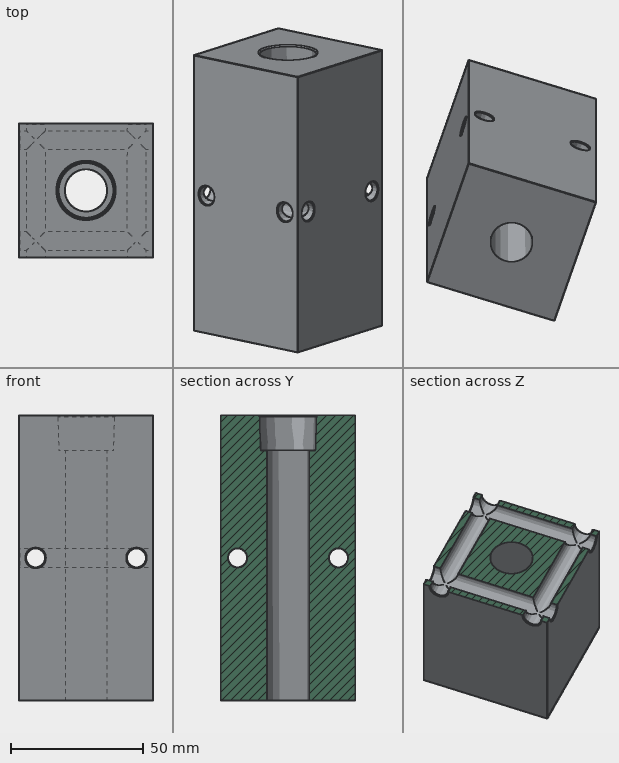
import cadquery as cq

height = 108.0
width = 50.8
edge_chamfer = 0.25

bore_diameter = 15.9
counterbore_depth = 13.4
counterbore_diameter = 21.4
counterbore_taper = 1 / 16
mouth_diameter = 22.6
mouth_chamfer = (mouth_diameter - counterbore_diameter) / 2
floor_diameter = counterbore_diameter - counterbore_taper * (counterbore_depth - mouth_chamfer)

cross_hole_diameter = 7.1
cross_hole_chamfer = 0.38
cross_hole_spacing = 38.1


def make_block():
    """Square block centred on the origin, with all its edges broken."""
    block = cq.Workplane("XY").box(width, width, height)
    return block.edges().chamfer(edge_chamfer)


def make_bore():
    """Cutter for the through bore and the tapered, chamfered counterbore at its top."""
    top = height / 2
    floor = top - counterbore_depth
    half_profile = [
        (0, -top),
        (bore_diameter / 2, -top),
        (bore_diameter / 2, floor),
        (floor_diameter / 2, floor),
        (counterbore_diameter / 2, top - mouth_chamfer),
        (mouth_diameter / 2, top),
        (0, top),
    ]
    return cq.Workplane("XZ").polyline(half_profile).close().revolve(360, (0, 0), (0, 1))


def make_cross_holes(plane):
    """Cutter for two through holes square to the plane, side by side at mid-height."""
    return (
        cq.Workplane(plane)
        .rarray(cross_hole_spacing, 1.1, 2, 1)
        .circle(cross_hole_diameter / 2)
        .extrude(width / 2, both=True)
    )


body = make_block().cut(make_bore())
for plane in ("XZ", "YZ"):
    body = body.cut(make_cross_holes(plane))

side_faces = "<X or >X or <Y or >Y"
result = body.faces(side_faces).edges("%CIRCLE").chamfer(cross_hole_chamfer)